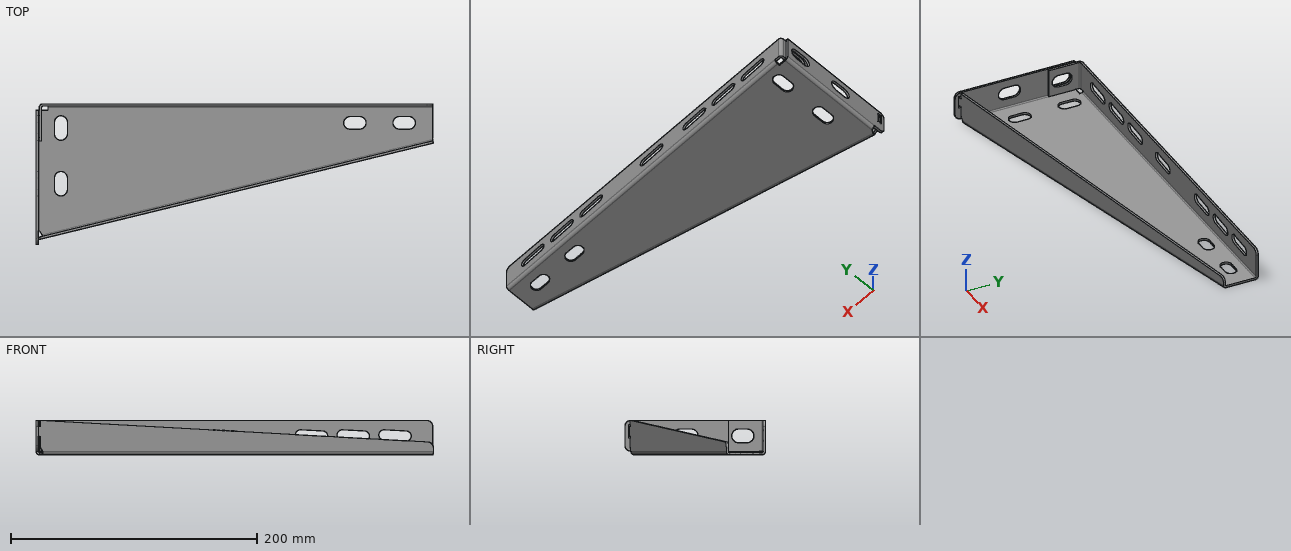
import cadquery as cq
import math

thickness = 2.0
bend_radius = 3.0
inner_radius = bend_radius - thickness
corner_radius = 5.0

overall_length = 323.0
overall_width = 114.5
height = 28.0
base_end_x = 322.5

slope_start_x = thickness
slope_start_y = 4.0
slope_end_y = 82.5
slope_run = overall_length - slope_start_x
slope_rise = slope_end_y - slope_start_y
slope_length = math.hypot(slope_run, slope_rise)
slope_angle = math.degrees(math.atan2(slope_rise, slope_run))
front_end_height = 10.5
front_wall_start = 1.5
front_bend_start = 4.0
front_relief_top = 6.0

tab_reach = 1.3
tab_bottom = 15.2
tab_top = 23.3
window_y_min = 3.07
window_y_max = 6.8
window_clearance = 1.3

plate_back_y = 109.2
plate_bend_front_y = 11.0
back_bend_start_x = 9.7

return_gap = 0.5
return_outer_x = thickness + return_gap
return_end_y = 84.0

plate_slot_length = 20.0
plate_slot_width = 11.0
plate_slot_y = (94.7, 49.5)
plate_slot_z = 15.5
return_slot_length = 18.0
return_slot_y = 96.0

mount_slot_length = 19.7
mount_slot_width = 10.5
mount_slot_x = 20.5
mount_slot_y = (94.7, 49.5)

end_slot_length = 18.0
end_slot_width = 10.0
end_slot_x = (259.0, 299.2)
end_slot_y = 99.0

back_slot_length = 26.2
back_slot_width = 8.0
back_slot_tilt = 3.0
back_slot_z = 15.8
back_slot_pitch = 34.0
back_slots_per_group = 3
back_slot_groups = (36.0, 224.0)
back_slot_middle_x = 153.5


def box(x_range, y_range, z_range):
    """Solid block between two limits on each axis."""
    return (
        cq.Workplane("XY", origin=(x_range[0], y_range[0], z_range[0]))
        .box(
            x_range[1] - x_range[0],
            y_range[1] - y_range[0],
            z_range[1] - z_range[0],
            centered=False,
        )
    )


def bend_strip(length):
    """Quarter bend along +X, with its wall's outer face at Y = 0 and its base towards +Y."""
    bend = cq.Workplane("YZ", origin=(0, bend_radius, bend_radius))
    ring = bend.circle(bend_radius).circle(inner_radius).extrude(length)
    return ring.intersect(box((0, length), (0, bend_radius), (0, bend_radius)))


def base_corner(along):
    """Base corner where the front bend meets it, at a distance along the slope."""
    angle = math.radians(slope_angle)
    return (
        slope_start_x + along * math.cos(angle) - bend_radius * math.sin(angle),
        slope_start_y + along * math.sin(angle) + bend_radius * math.cos(angle),
    )


def make_base():
    back_y = overall_width - bend_radius
    outline = [
        (bend_radius, plate_back_y),
        (bend_radius, plate_bend_front_y),
        base_corner(front_bend_start),
        base_corner(slope_length),
        (base_end_x, back_y),
        (back_bend_start_x, back_y),
        (back_bend_start_x, plate_back_y),
    ]
    base = cq.Workplane("XY").polyline(outline).close().extrude(thickness)
    mount_slots = (
        cq.Workplane("XY")
        .pushPoints([(mount_slot_x, y) for y in mount_slot_y])
        .slot2D(mount_slot_length, mount_slot_width, 90)
        .extrude(thickness)
    )
    end_slots = (
        cq.Workplane("XY")
        .pushPoints([(x, end_slot_y) for x in end_slot_x])
        .slot2D(end_slot_length, end_slot_width)
        .extrude(thickness)
    )
    return base.cut(mount_slots).cut(end_slots)


def make_end_plate():
    plate = box((0, thickness), (0, plate_back_y), (bend_radius, height))
    plate = plate.edges("|X and <Y").fillet(corner_radius)
    window = box(
        (0, thickness),
        (window_y_min, window_y_max),
        (tab_bottom - window_clearance, tab_top + window_clearance),
    )
    slots = (
        cq.Workplane("YZ")
        .pushPoints([(y, plate_slot_z) for y in plate_slot_y])
        .slot2D(plate_slot_length, plate_slot_width)
        .extrude(thickness)
    )
    bend = (
        bend_strip(plate_back_y - plate_bend_front_y)
        .rotate((0, 0, 0), (0, 0, 1), -90)
        .translate((0, plate_back_y, 0))
    )
    return plate.cut(window).cut(slots).union(bend)


def make_back_flange():
    """Back wall, its bend, and the return tab folded round the corner."""
    inner_y = overall_width - thickness
    z_range = (bend_radius, height)
    wall = box((return_outer_x, base_end_x), (return_end_y, overall_width), z_range)
    wall = wall.edges("|Z and <X and >Y").fillet(bend_radius)
    hollow = box((return_outer_x + thickness, base_end_x), (return_end_y, inner_y), z_range)
    hollow = hollow.edges("|Z and <X and >Y").fillet(inner_radius)
    wall = wall.cut(hollow).edges("|Y and >X and >Z").fillet(corner_radius)

    slot_x = [
        start + i * back_slot_pitch
        for start in back_slot_groups
        for i in range(back_slots_per_group)
    ]
    slot_x.append(back_slot_middle_x)
    back_slots = (
        cq.Workplane("XZ", origin=(0, overall_width, 0))
        .pushPoints([(x, back_slot_z) for x in slot_x])
        .slot2D(back_slot_length, back_slot_width, -back_slot_tilt)
        .extrude(thickness)
    )
    return_slot = (
        cq.Workplane("YZ", origin=(return_outer_x, 0, 0))
        .center(return_slot_y, plate_slot_z)
        .slot2D(return_slot_length, plate_slot_width)
        .extrude(thickness)
    )
    bend = (
        bend_strip(base_end_x - back_bend_start_x)
        .rotate((0, 0, 0), (0, 0, 1), 180)
        .translate((base_end_x, overall_width, 0))
    )
    return wall.cut(back_slots).cut(return_slot).union(bend)


def make_front_flange():
    """Tapering wall with a locking tab, and its bend, along the sloping edge."""
    wall_outline = [
        (front_wall_start, height),
        (front_wall_start, tab_top),
        (-tab_reach, tab_top),
        (-tab_reach, tab_bottom),
        (front_wall_start, tab_bottom),
        (front_wall_start, front_relief_top),
        (front_bend_start, bend_radius),
        (slope_length, bend_radius),
        (slope_length, front_end_height),
    ]
    wall = cq.Workplane("XZ").polyline(wall_outline).close().extrude(-thickness)
    narrow_corner = cq.selectors.NearestToPointSelector((slope_length, thickness / 2, front_end_height))
    wall = wall.edges(narrow_corner).fillet(corner_radius)
    bend = bend_strip(slope_length - front_bend_start).translate((front_bend_start, 0, 0))
    flange = wall.union(bend)
    return (
        flange.rotate((0, 0, 0), (0, 0, 1), slope_angle)
        .translate((slope_start_x, slope_start_y, 0))
    )


result = (
    make_base()
    .union(make_end_plate())
    .union(make_back_flange())
    .union(make_front_flange())
)